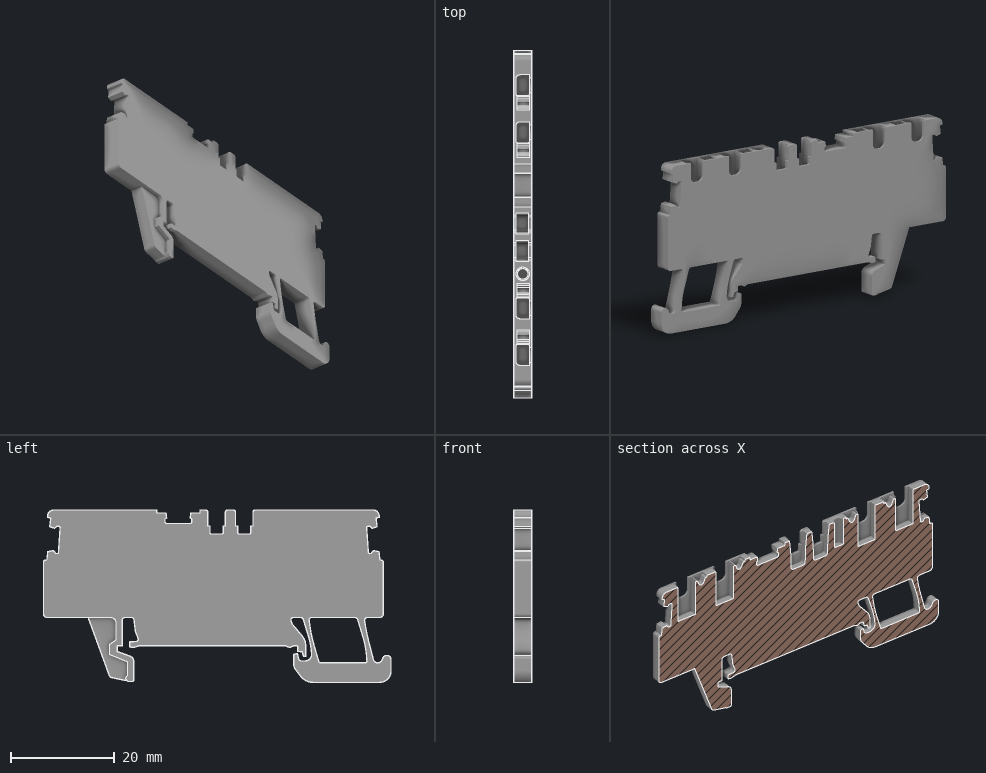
import cadquery as cq
import math


thickness = 3.5
total_length = 67.17
height = 33.35
body_length = 65.68
body_bottom = 12.53
rail_seat = 7.06

overcut = 0.3
cut_top = height + overcut

foot_end = -total_length / 2
body_end = total_length / 2
body_mid = body_end - body_length / 2
half_body = body_length / 2

seat_bump = 0.33
foot_floor = 3.83
foot_tip = 5.25

marker_mid = 7.5
marker_ledge_width = 8.33
marker_ledge_depth = 0.6
marker_neck_width = 4.5
marker_neck_z = height - 1.55
marker_base_width = 5.12
marker_neck_draft = 0.12
marker_undercut_drop = 0.2
marker_floor = height - 2.6
marker_base_radius = 0.25

bridge_centers = (0.13, -5.22)
bridge_mouth = 3.35
bridge_throat = 2.5
bridge_step_z = 30.28
bridge_floor = 28.7
bridge_lip_radius = 0.45
bridge_floor_radius = 0.25
bridge_clearance = 0.35
chamber_taper = 0.12
chamber_floor = height - 7.0
chamber_floor_radius = 0.5
closed_wall = 0.42
open_wall = 0.62

funnel_centers = (26.85, 17.75, -16.25, -25.25)
funnel_length = 4.05
funnel_depth = 8.0
funnel_wall = 0.42
funnel_radius = 0.8
funnel_inner_radius = 0.3
funnel_mouth_depth = 4.0
funnel_mouth_inset = 0.6
funnel_mouth_radius = 1.2
spring_offset = 3.5
spring_length = 2.65
spring_inner_x = 0.68
spring_outer_x = 3.06
spring_ledge_depth = 0.4
spring_ledge = 0.45
spring_knee = 0.5
spring_knee_depth = 1.0
spring_trough_depth = 1.5
spring_trough_radius = 0.4

socket_y = -9.6
socket_diameter = 2.05
socket_mouth_diameter = 2.6
socket_depth = 6.0

web_recess = 1.0
web_overlap = 0.3
latch_tip = 0.18


def rounded_outline(corners):
    """Closed YZ wire from (y, z) or (y, z, radius) corners."""
    count = len(corners)
    trimmed = []
    for i, corner in enumerate(corners):
        here = cq.Vector(corner[0], corner[1])
        radius = corner[2] if len(corner) > 2 else 0
        if radius == 0:
            trimmed.append((here, None, here))
            continue
        before = cq.Vector(*corners[i - 1][:2])
        after = cq.Vector(*corners[(i + 1) % count][:2])
        back = (before - here).normalized()
        ahead = (after - here).normalized()
        half_angle = back.getAngle(ahead) / 2
        tangent = radius / math.tan(half_angle)
        bisector = (back + ahead).normalized()
        middle = here + bisector * (radius / math.sin(half_angle) - radius)
        trimmed.append((here + back * tangent, middle, here + ahead * tangent))

    start = trimmed[0][2]
    wire = cq.Workplane("YZ").moveTo(start.x, start.y)
    for entry, middle, leave in trimmed[1:] + trimmed[:1]:
        wire = wire.lineTo(entry.x, entry.y)
        if middle is not None:
            wire = wire.threePointArc((middle.x, middle.y), (leave.x, leave.y))
    return wire.close()


def slab(corners, x_start=0.0, x_end=thickness):
    return rounded_outline(corners).extrude(x_end - x_start).translate((x_start, 0, 0))


def mirrored_about(center, half_profile):
    """Closed corner list from a half profile of (offset, z[, radius]) corners."""
    right = [(center - corner[0], *corner[1:]) for corner in half_profile]
    left = [(center + corner[0], *corner[1:]) for corner in half_profile[::-1]]
    return right + left


def body_end_corners(side):
    """Snap-in end from top to bottom; side is +1 (+Y end) or -1 (-Y end)."""
    profile = [
        (32.05, height, 1.2),
        (32.05, 31.9),
        (31.45, 31.75),
        (31.65, 30.1),
        (30.66, 29.75),
        (30.3, 30.15),
        (29.62, 30.15, 0.2),
        (29.98, 24.95, 0.15),
        (30.45, 24.95),
        (30.9, 25.5),
        (32.02, 25.3),
        (32.2, 23.7),
        (half_body, 23.6, 0.4),
        (half_body, body_bottom, 0.7),
    ]
    return [(body_mid + side * corner[0], *corner[1:]) for corner in profile]


def foot_corners():
    """Flexible foot at the -Y end, from the outer leg round to the rail seat."""
    return [
        (-28.4, body_bottom, 0.5),
        (-28.85, 9.6, 40.0),
        (-30.35, foot_floor, 0.8),
        (-31.6, foot_floor, 0.8),
        (-32.2, foot_tip, 0.8),
        (foot_end, foot_tip, 0.8),
        (foot_end, 0.0, 2.2),
        (-17.0, 0.0, 3.0),
        (-14.75, 3.0, 1.5),
        (-14.75, 5.45),
        (-15.5, 5.65),
        (-15.85, 4.2, 0.5),
        (-18.3, 4.2, 1.2),
        (-18.05, 7.5, 15.0),
        (-16.5, body_bottom, 0.5),
        (-14.1, body_bottom, 0.4),
        (-14.5, 11.3, 0.6),
        (-17.1, 8.2, 3.0),
        (-17.15, 5.04),
        (-16.65, 5.04),
        (-16.4, 5.9),
        (-15.55, 6.0),
        (-15.5, rail_seat),
        (-14.75, rail_seat),
        (-14.0, rail_seat - seat_bump),
        (-13.2, rail_seat),
    ]


def latch_corners():
    """Rail hook and full-thickness latch rib, ending at the body underside."""
    return [
        (15.1, rail_seat),
        (16.2, rail_seat - seat_bump),
        (16.95, rail_seat - 0.2),
        (16.95, 7.9, 0.2),
        (15.1, 7.95, 0.4),
        (15.85, 9.9, 1.0),
        (16.15, body_bottom, 0.4),
        (18.35, body_bottom, 0.5),
        (18.35, rail_seat),
        (19.3, rail_seat),
        (19.3, 6.0),
        (16.1, 4.85, 1.2),
        (16.1, latch_tip, 0.3),
        (17.28, latch_tip),
        (17.75, 0.8),
        (17.33, 1.44),
        (17.33, 4.0),
        (20.8, 5.4),
        (20.8, 7.35),
        (19.56, 8.25),
        (19.56, body_bottom, 1.0),
    ]


def body():
    left_end = body_end_corners(1)
    right_end = body_end_corners(-1)
    outline = left_end[::-1] + right_end + foot_corners() + latch_corners()
    return slab(outline)


def latch_web():
    web = [
        (24.95, body_bottom),
        (20.75, 1.0, 0.7),
        (17.6, 0.35),
        (17.0, 1.5),
        (16.9, 4.3),
        (20.2, 5.7),
        (19.0, 8.0),
        (19.0, body_bottom + web_overlap),
        (24.95, body_bottom + web_overlap),
    ]
    return slab(web, web_recess, thickness)


def foot_window():
    window = [
        (-17.7, body_bottom, 0.4),
        (-18.2, 9.0, 28.0),
        (-19.7, foot_floor, 0.3),
        (-28.92, foot_floor, 0.3),
        (-28.65, 7.0, 15.0),
        (-27.0, body_bottom, 0.5),
    ]
    return slab(window)


def marker_groove():
    half_profile = [
        (marker_ledge_width / 2, cut_top),
        (marker_ledge_width / 2, height - marker_ledge_depth),
        (marker_neck_width / 2 + marker_neck_draft, height - marker_ledge_depth),
        (marker_neck_width / 2, marker_neck_z),
        (marker_base_width / 2, marker_neck_z - marker_undercut_drop),
        (marker_base_width / 2, marker_floor, marker_base_radius),
    ]
    return slab(mirrored_about(marker_mid, half_profile))


def bridge_opening(center):
    """Stepped slot through both side walls, with rounded lips."""
    half_mouth = bridge_mouth / 2
    half_throat = bridge_throat / 2
    flare = half_mouth + bridge_lip_radius + overcut
    half_profile = [
        (flare, cut_top),
        (flare, height),
        (half_mouth, height, bridge_lip_radius),
        (half_mouth, bridge_step_z),
        (half_throat, bridge_step_z),
        (half_throat, bridge_floor, bridge_floor_radius),
    ]
    return slab(mirrored_about(center, half_profile))


def bridge_chamber(center):
    """Wider tapered chamber between the side walls."""
    half_mouth = bridge_mouth / 2 + bridge_clearance
    half_throat = bridge_throat / 2 + bridge_clearance
    half_profile = [
        (half_mouth, cut_top),
        (half_mouth, height),
        (half_throat + chamber_taper, bridge_step_z),
        (half_throat, chamber_floor, chamber_floor_radius),
    ]
    return slab(mirrored_about(center, half_profile), closed_wall, thickness - open_wall)


def wire_funnel(center):
    """Deep pocket whose wall at X = thickness is notched down from the top."""
    x_far = thickness - funnel_wall
    pocket = (
        cq.Workplane("XY")
        .box(x_far - funnel_wall, funnel_length, funnel_depth, centered=(False, True, False))
        .translate((funnel_wall, center, height - funnel_depth))
    )
    outer_side, inner_side = (">Y", "<Y") if center > 0 else ("<Y", ">Y")
    pocket = pocket.edges("|Z").edges(inner_side).fillet(funnel_inner_radius)
    pocket = pocket.edges("|Z").edges(outer_side).edges("<X").fillet(funnel_radius)
    half_mouth = funnel_length / 2 - funnel_mouth_inset
    mouth_bottom = height - funnel_mouth_depth
    mouth = slab(
        [
            (center - half_mouth, cut_top),
            (center - half_mouth, mouth_bottom, funnel_mouth_radius),
            (center + half_mouth, mouth_bottom, funnel_mouth_radius),
            (center + half_mouth, cut_top),
        ],
        x_far - overcut,
        thickness,
    )
    return pocket.union(mouth)


def spring_recess(center):
    """Shallow ledge at both ends, stepping down to a rounded trough between them."""
    half_length = spring_length / 2
    ledge_z = height - spring_ledge_depth
    half_profile = [
        (half_length, height),
        (half_length, ledge_z),
        (half_length - spring_ledge, ledge_z),
        (spring_knee, ledge_z - spring_knee_depth),
    ]
    trough = [(center, ledge_z - spring_trough_depth, spring_trough_radius)]
    corners = mirrored_about(center, half_profile)
    middle = len(half_profile)
    return slab(corners[:middle] + trough + corners[middle:], spring_inner_x, spring_outer_x)


def test_socket():
    chamfer = (socket_mouth_diameter - socket_diameter) / 2
    bore = (
        cq.Workplane("XY", origin=(thickness / 2, socket_y, height - socket_depth))
        .circle(socket_diameter / 2)
        .extrude(socket_depth)
    )
    countersink = cq.Solid.makeCone(
        socket_diameter / 2,
        socket_mouth_diameter / 2,
        chamfer,
        pnt=cq.Vector(thickness / 2, socket_y, height - chamfer),
    )
    return bore.union(cq.Workplane(countersink))


result = body().union(latch_web()).cut(foot_window()).cut(marker_groove())

for bridge_center in bridge_centers:
    result = result.cut(bridge_opening(bridge_center))
    result = result.cut(bridge_chamber(bridge_center))

for funnel_center in funnel_centers:
    toward_middle = -math.copysign(1, funnel_center)
    result = result.cut(wire_funnel(funnel_center))
    result = result.cut(spring_recess(funnel_center + toward_middle * spring_offset))

result = result.cut(test_socket())